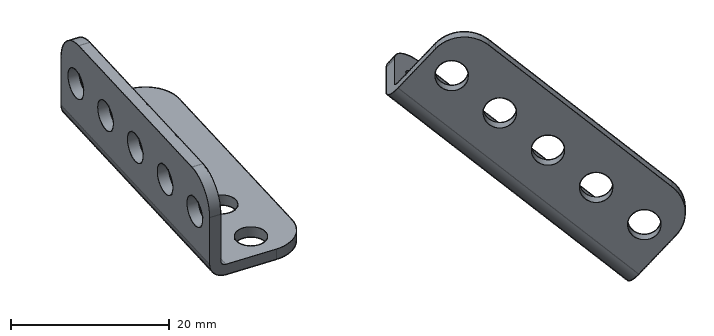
import cadquery as cq

length = 40.0
leg = 14.3
thickness = 1.6
bend_inner_radius = 0.7
corner_radius = 4.8
hole_diameter = 4.2
hole_count = 5
hole_pitch = 8.0
hole_height = 8.0

bend_outer_radius = bend_inner_radius + thickness


def bent_sheet():
    """L-shaped sheet: upright leg on the -Y side, base leg at the bottom."""
    angle = (
        cq.Workplane("YZ")
        .moveTo(0, 0)
        .lineTo(leg, 0)
        .lineTo(leg, thickness)
        .lineTo(thickness, thickness)
        .lineTo(thickness, leg)
        .lineTo(0, leg)
        .close()
        .extrude(length / 2, both=True)
    )
    angle = angle.edges("|X and <Y and <Z").fillet(bend_outer_radius)
    inner_bend = cq.selectors.NearestToPointSelector((0, thickness, thickness))
    return angle.edges(inner_bend).fillet(bend_inner_radius)


def round_free_corners(angle):
    """Round the two top corners of the upright and the two far corners of the base."""
    angle = angle.faces(">Z").edges("|Y").fillet(corner_radius)
    return angle.faces(">Y").edges("|Z").fillet(corner_radius)


def hole_row(plane):
    """Row of cylinders along X that pierces the leg lying on the given plane."""
    first_x = -hole_pitch * (hole_count - 1) / 2
    centres = [(first_x + i * hole_pitch, hole_height) for i in range(hole_count)]
    return (
        cq.Workplane(plane)
        .pushPoints(centres)
        .circle(hole_diameter / 2)
        .extrude(thickness, both=True)
    )


upright_holes = hole_row("XZ")
base_holes = hole_row("XY")

result = round_free_corners(bent_sheet()).cut(upright_holes).cut(base_holes)